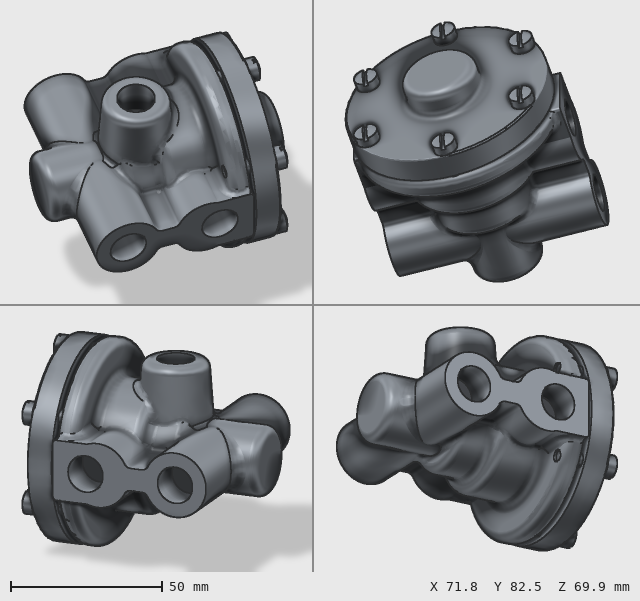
import cadquery as cq
import math

disc_diameter = 69.9
disc_radius = disc_diameter / 2
casting_fillet = 3.2
step_bar_fillet = 2.5
port_bar_fillet = 2.1
front_boss_fillet = 4.1

flange_back_fillet = 2.8
flange_thickness = 7.5
step1_radius = 22.3
step1_shoulder = -21.8
step2_radius = 17.5
step2_end = 37.9

bar_left = -36.5
bar_right = disc_radius
bracket_half_height = 10.4
bracket_corner_fillet = 1.2
lobe_y = -16.1
lobe_radius = 11.05
tube_y = -44.0
tube_radius = 11.1
web_half_height = 3.9
web_fillet = 2.5
bracket_port_y = -11.8

top_port_y = -28.9
top_port_height = 31.7
top_port_radius = 11.2
top_port_draft = 4.0
front_boss_radius = 12.0
front_boss_end = -62.9
front_boss_root = -37.95

port_radius = 6.3
port_depth = 12.4

gap = 1.1
washer_radius = 20.6
cover_top = 9.8
cover_edge_fillet = 0.6
hub_radius = 12.8
hub_top = 19.55
hub_root_fillet = 3.05
screw_count = 6
screw_circle_radius = 30.9
shank_radius = 2.5
head_diameter = 8.0
head_radius = head_diameter / 2
head_side = 3.5
head_dome = 1.1
slot_width = 1.4
slot_depth = 2.1

screw_hole_radius = 2.1
screw_hole_depth = 0.8

blend_inset = 0.025
contact_tolerance = 0.001
probe_fractions = (0.2, 0.5, 0.8)


def cylinder_y(radius, start, end):
    """Cylinder about the diaphragm axis, from Y = start to the lower Y = end."""
    return cq.Workplane("XZ", origin=(0, start, 0)).circle(radius).extrude(start - end)


def cylinder_x(radius, y, start, end):
    """Cylinder along X at height Z = 0, from X = start to X = end."""
    return cq.Workplane("YZ", origin=(start, y, 0)).circle(radius).extrude(end - start)


def block_x(y_max, y_min, half_height, start, end):
    """Block along X centred on Z = 0, from X = start to X = end."""
    return (
        cq.Workplane("YZ", origin=(start, (y_max + y_min) / 2, 0))
        .rect(y_max - y_min, 2 * half_height)
        .extrude(end - start)
    )


def blend(first, second, radius):
    """Union of two bodies with a fillet along every edge where their surfaces meet."""
    joined = first.union(second)
    skins = [body.val().Shells()[0] for body in (first, second)]

    def on_both(edge):
        probes = [cq.Vertex.makeVertex(*edge.positionAt(t).toTuple()) for t in probe_fractions]
        return all(skin.distance(probe) < contact_tolerance for skin in skins for probe in probes)

    seam = [edge for edge in joined.edges().vals() if on_both(edge)]
    return joined.newObject(seam).fillet(radius)


def make_flange():
    """Rounded flange turned about Y, with the hollow corner that leads into the first step."""
    r = casting_fillet
    return (
        cq.Workplane("XY")
        .lineTo(disc_radius - flange_back_fillet, 0)
        .radiusArc((disc_radius, -flange_back_fillet), flange_back_fillet)
        .lineTo(disc_radius, r - flange_thickness)
        .radiusArc((disc_radius - r, -flange_thickness), r)
        .lineTo(step1_radius + r, -flange_thickness)
        .radiusArc((step1_radius, -flange_thickness - r), -r)
        .lineTo(0, -flange_thickness - r)
        .close()
        .revolve(360, (0, 0, 0), (0, 1, 0))
    )


def make_steps(inset=0):
    """Both steps turned about Y from inside the flange; the shoulder is an S of two equal arcs."""
    r = casting_fillet
    big = step1_radius - inset
    small = step2_radius - inset
    end = inset - step2_end
    turn = math.acos(1 - (big - small) / (2 * r))
    shoulder_drop = 2 * r * math.sin(turn)
    shoulder_end = step1_shoulder - shoulder_drop
    return (
        cq.Workplane("XY")
        .moveTo(0, -flange_thickness / 2)
        .lineTo(big, -flange_thickness / 2)
        .lineTo(big, step1_shoulder)
        .radiusArc(((big + small) / 2, step1_shoulder - shoulder_drop / 2), r)
        .radiusArc((small, shoulder_end), -r)
        .lineTo(small, r + end)
        .radiusArc((small - r, end), r)
        .lineTo(0, end)
        .close()
        .revolve(360, (0, 0, 0), (0, 1, 0))
    )


def make_bracket(start, end, inset=0):
    """Flat-sided bracket with rounded back corners."""
    bracket = block_x(-inset, lobe_y, bracket_half_height - inset, start, end)
    return bracket.edges("|X and >Y").fillet(bracket_corner_fillet)


def make_bar(inset=0):
    """Bracket, lobe, web and tube, merged into one bar with filleted waists."""
    start = bar_left + inset
    end = bar_right - inset
    bracket = make_bracket(start, end, inset)
    lobe = cylinder_x(lobe_radius - inset, lobe_y, start, end)
    web = block_x(lobe_y, tube_y, web_half_height - inset, start, end)
    tube = cylinder_x(tube_radius - inset, tube_y, start, end)
    waists = cq.selectors.BoxSelector(
        (start - 0.8, tube_y, -web_half_height - 0.8), (end + 0.8, lobe_y, web_half_height + 0.8)
    )
    bar = bracket.union(lobe).union(web).union(tube)
    return bar.edges("|X").edges(waists).fillet(web_fillet)


def make_top_port(inset=0):
    """Tapered boss that stands on the body and narrows towards its rounded rim."""
    height = top_port_height - inset
    return (
        cq.Workplane("XY", origin=(0, top_port_y, height))
        .circle(top_port_radius - inset)
        .extrude(-height, taper=-top_port_draft)
        .faces(">Z")
        .edges()
        .fillet(casting_fillet)
    )


def make_front_boss():
    """Blind round boss that crosses the tube and points to -Y."""
    boss = cylinder_y(front_boss_radius, front_boss_root, front_boss_end)
    return boss.faces("<Y").edges().fillet(casting_fillet)


def make_flange_root(inset):
    """Flange disc blended into an overlong bracket, then trimmed to the length of the bar."""
    disc = cylinder_y(disc_radius - inset, -inset, inset - flange_thickness)
    disc = disc.faces("<Y").edges().fillet(casting_fillet)
    disc = disc.faces(">Y").edges().fillet(flange_back_fillet)
    overlong = disc_radius + 2 * casting_fillet
    root = blend(disc, make_bracket(-overlong, overlong, inset), casting_fillet)
    return root.intersect(block_x(0, lobe_y, disc_radius, bar_left + inset, bar_right - inset))


def make_body():
    """Steps and bar blended at full size, then the flange, the bosses and their blends.

    Parts repeated only to carry a blend are shrunk by a small inset of their own.
    They stay buried apart from the rounded corner, and no two faces of the union coincide.
    """
    insets = [blend_inset * (i + 1) for i in range(4)]
    body = blend(make_steps(), make_bar(), step_bar_fillet).union(make_flange())
    corners = [
        make_flange_root(insets[0]),
        blend(make_steps(insets[1]), make_top_port(), casting_fillet),
        blend(make_bar(insets[2]), make_top_port(insets[2]), port_bar_fillet),
        blend(make_bar(insets[3]), make_front_boss(), front_boss_fillet),
    ]
    for corner in corners:
        body = body.union(corner)
    return body


def cut_ports(body):
    """Blind holes in both ends of the lobe and the tube, and down the top port."""
    for y in (bracket_port_y, tube_y):
        body = body.cut(cylinder_x(port_radius, y, bar_left, bar_left + port_depth))
        body = body.cut(cylinder_x(port_radius, y, bar_right - port_depth, bar_right))
    top_hole = cq.Workplane("XY", origin=(0, top_port_y, top_port_height)).circle(port_radius)
    return body.cut(top_hole.extrude(-port_depth))


def screw_positions():
    """(X, Z) of each cover screw, the first one straight above the axis."""
    angles = [math.radians(90 + i * 360 / screw_count) for i in range(screw_count)]
    return [(screw_circle_radius * math.cos(a), screw_circle_radius * math.sin(a)) for a in angles]


def cut_screw_holes(body):
    """Shallow round recesses where the two +X screws reach the front of the flange."""
    floor = screw_hole_depth - flange_thickness
    hole = cylinder_y(screw_hole_radius, floor, floor - 2 * casting_fillet)
    for x, z in screw_positions():
        if x > screw_hole_radius:
            body = body.cut(hole.translate((x, 0, z)))
    return body


def make_cover():
    """Cover disc with a rounded hub that flares at its root, and the washer under it."""
    disc = cylinder_y(disc_radius, cover_top, gap).faces(">Y").edges().fillet(cover_edge_fillet)
    hub = cylinder_y(hub_radius, hub_top, gap).faces(">Y").edges().fillet(casting_fillet)
    washer = cylinder_y(washer_radius, gap, -flange_back_fillet)
    return blend(disc, hub, hub_root_fillet).union(washer)


def make_screw():
    """Slotted screw with a low domed head, on the Y axis with its shank reaching into the body."""
    shoulder = cover_top + head_side
    dome_radius = (head_radius**2 + head_dome**2) / (2 * head_dome)
    head = (
        cq.Workplane("XY")
        .moveTo(0, cover_top)
        .lineTo(head_radius, cover_top)
        .lineTo(head_radius, shoulder)
        .radiusArc((0, shoulder + head_dome), -dome_radius)
        .close()
        .revolve(360, (0, 0, 0), (0, 1, 0))
    )
    slot = cq.Workplane("XY").box(slot_width, 2 * slot_depth, 3 * head_radius)
    shank = cylinder_y(shank_radius, cover_top, -flange_back_fillet)
    return head.cut(slot.translate((0, shoulder + head_dome, 0))).union(shank)


result = cut_screw_holes(cut_ports(make_body())).union(make_cover())
screw = make_screw()
for x, z in screw_positions():
    result = result.union(screw.translate((x, 0, z)))